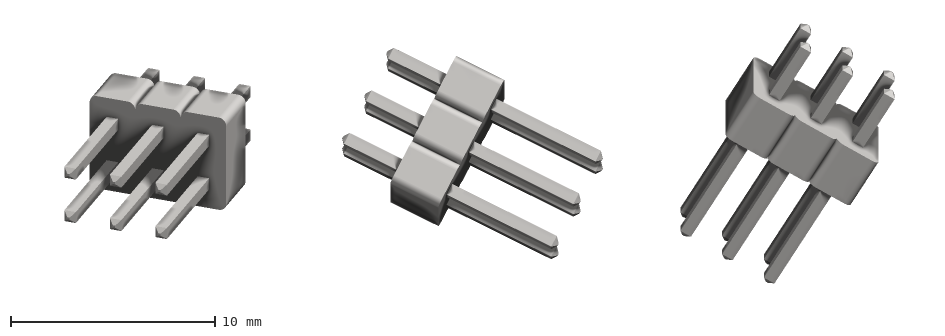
import cadquery as cq
import math

columns = 3
rows = 2
pitch = 2.39

block_height = 5.08
body_depth = 2.64
corner_radius = 0.39

pin_width = 0.6
pin_length = 11.84
back_reach = 3.22
tip_length = 0.22
tip_flat = 0.12
tip_taper = math.degrees(math.atan((pin_width - tip_flat) / 2 / tip_length))

pin_back_y = body_depth / 2 + back_reach
pin_centre_y = pin_back_y - pin_length / 2


def centred_positions(count):
    """Evenly pitched positions, symmetric about zero."""
    return [(index - (count - 1) / 2) * pitch for index in range(count)]


def make_block(x):
    """One column's block, with its four long edges rounded."""
    block = cq.Workplane("XY").box(pitch, body_depth, block_height)
    return block.edges("|Y").fillet(corner_radius).translate((x, 0, 0))


def make_pin(x, z):
    """Square pin with a blunt pyramid tip at both ends."""
    shaft_length = pin_length - 2 * tip_length
    pin = cq.Workplane("XY").box(pin_width, shaft_length, pin_width)
    for end in ("<Y", ">Y"):
        tip_base = pin.faces(end).workplane().rect(pin_width, pin_width)
        pin = tip_base.extrude(tip_length, taper=tip_taper)
    return pin.translate((x, pin_centre_y, z))


column_positions = centred_positions(columns)
row_positions = centred_positions(rows)

first_x, *other_xs = column_positions
result = make_block(first_x)
for x in other_xs:
    result = result.union(make_block(x), clean=False)

for x in column_positions:
    for z in row_positions:
        result = result.union(make_pin(x, z), clean=False)